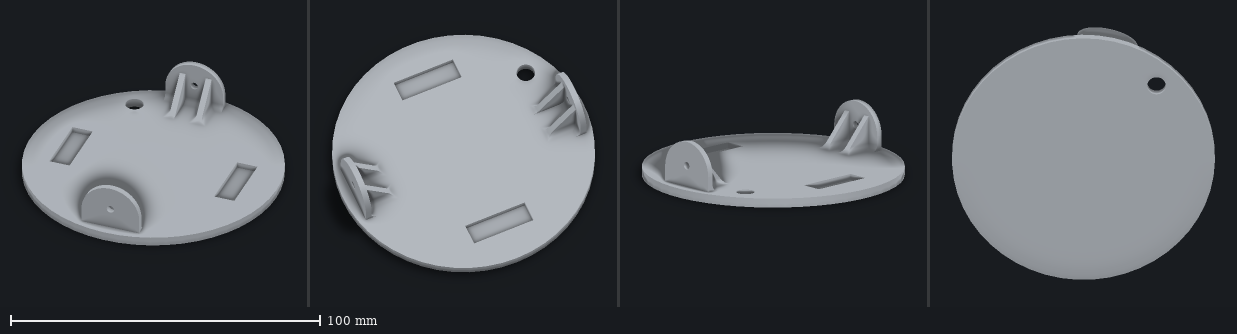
import cadquery as cq

BASE_DIAMETER = 85.0
BASE_THICKNESS = 3.0

ROUND_HOLE_DIAMETER = 6.0
ROUND_HOLE_CENTER = (-18.0, 30.0)

POCKET_WIDTH = 7.0
POCKET_LENGTH = 21.0
POCKET_INNER_X = 25.0
POCKET_DEPTH = 2.0

UPRIGHT_RADIUS = 10.0
UPRIGHT_THICKNESS = 2.0
UPRIGHT_OUTER_Y = 39.0
UPRIGHT_INNER_Y = UPRIGHT_OUTER_Y - UPRIGHT_THICKNESS
UPRIGHT_ARC_Z = 8.0
PIVOT_HOLE_DIAMETER = 2.5
PIVOT_HOLE_Z = 10.0

RIB_THICKNESS = 2.0
RIB_REACH = 10.0
RIB_HEIGHT = 11.0
RIB_CENTERS_X = (-5.0, 4.0)

FOOT_FILLET = 2.0

TOLERANCE = 0.01


def make_base():
    """Disc with the round through hole and the two side pockets."""
    disc = cq.Workplane("XY").circle(BASE_DIAMETER / 2).extrude(BASE_THICKNESS)
    hole = (
        cq.Workplane("XY")
        .center(*ROUND_HOLE_CENTER)
        .circle(ROUND_HOLE_DIAMETER / 2)
        .extrude(BASE_THICKNESS)
    )
    pocket_x = POCKET_INNER_X + POCKET_WIDTH / 2
    pockets = (
        cq.Workplane("XY", origin=(0, 0, BASE_THICKNESS))
        .pushPoints([(-pocket_x, 0), (pocket_x, 0)])
        .rect(POCKET_WIDTH, POCKET_LENGTH)
        .extrude(-POCKET_DEPTH)
    )
    return disc.cut(hole).cut(pockets)


def make_upright():
    """Front upright: straight sides, half-round top and pivot hole."""
    front = cq.Workplane("XZ", origin=(0, -UPRIGHT_OUTER_Y, 0))
    plate = (
        front.moveTo(-UPRIGHT_RADIUS, BASE_THICKNESS)
        .lineTo(UPRIGHT_RADIUS, BASE_THICKNESS)
        .lineTo(UPRIGHT_RADIUS, UPRIGHT_ARC_Z)
        .threePointArc((0, UPRIGHT_ARC_Z + UPRIGHT_RADIUS), (-UPRIGHT_RADIUS, UPRIGHT_ARC_Z))
        .close()
        .extrude(-UPRIGHT_THICKNESS)
    )
    pivot = front.center(0, PIVOT_HOLE_Z).circle(PIVOT_HOLE_DIAMETER / 2).extrude(-UPRIGHT_THICKNESS)
    return plate.cut(pivot)


def make_rib(center_x):
    """Triangular rib running from the front upright toward the middle of the base."""
    return (
        cq.Workplane("YZ", origin=(center_x - RIB_THICKNESS / 2, 0, 0))
        .moveTo(-UPRIGHT_INNER_Y, BASE_THICKNESS)
        .lineTo(-UPRIGHT_INNER_Y + RIB_REACH, BASE_THICKNESS)
        .lineTo(-UPRIGHT_INNER_Y, BASE_THICKNESS + RIB_HEIGHT)
        .close()
        .extrude(RIB_THICKNESS)
    )


def make_bracket():
    """Front upright with its ribs."""
    bracket = make_upright()
    for center_x in RIB_CENTERS_X:
        bracket = bracket.union(make_rib(center_x))
    return bracket


def is_foot_edge(edge):
    """True for an edge where the inner side of a bracket meets the top of the base."""
    box = edge.BoundingBox()
    on_base_top = abs(box.zmin - BASE_THICKNESS) < TOLERANCE and abs(box.zmax - BASE_THICKNESS) < TOLERANCE
    center = edge.Center()
    rib_end_y = UPRIGHT_INNER_Y - RIB_REACH
    in_bracket_width = abs(center.x) < UPRIGHT_RADIUS
    in_bracket_depth = rib_end_y - TOLERANCE < abs(center.y) < UPRIGHT_INNER_Y + TOLERANCE
    return on_base_top and in_bracket_width and in_bracket_depth


def is_sharp_edge(edge):
    """True for the one foot edge without a fillet: the +X side of the left rear rib."""
    rib_side_x = -RIB_CENTERS_X[1] + RIB_THICKNESS / 2
    rib_middle_y = UPRIGHT_INNER_Y - RIB_REACH / 2
    center = edge.Center()
    return abs(center.x - rib_side_x) < TOLERANCE and abs(center.y - rib_middle_y) < TOLERANCE


def fillet_feet(body):
    """Round the inner foot of both brackets."""
    feet = []
    for edge in body.edges().vals():
        if is_foot_edge(edge) and not is_sharp_edge(edge):
            feet.append(edge)
    return body.newObject(feet).fillet(FOOT_FILLET)


front_bracket = make_bracket()
rear_bracket = front_bracket.rotate((0, 0, 0), (0, 0, 1), 180)
result = fillet_feet(make_base().union(front_bracket).union(rear_bracket))